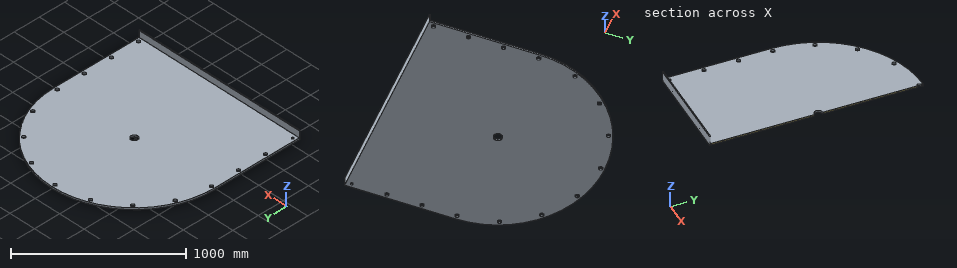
import cadquery as cq
import math

width = 1312.0
length = 1336.0
height = 65.0
plate_thickness = 15.0
flange_thickness = 7.0

center_hole_diameter = 52.0
rim_hole_diameter = 24.0
small_hole_diameter = 15.0
rim_hole_inset = 25.0
side_hole_pitch = 215.0
side_hole_rows = 3
arc_spaces = 8

end_radius = width / 2
front_y = end_radius - length
hole_radius = end_radius - rim_hole_inset


def arched_plate():
    """Flat plate with a straight front edge and a semicircular rear end."""
    return (
        cq.Workplane("XY")
        .moveTo(-end_radius, front_y)
        .lineTo(end_radius, front_y)
        .lineTo(end_radius, 0)
        .threePointArc((0, end_radius), (-end_radius, 0))
        .close()
        .extrude(plate_thickness)
    )


def front_flange():
    """Thin upright wall along the straight front edge."""
    return (
        cq.Workplane("XY", origin=(0, front_y, 0))
        .box(width, flange_thickness, height, centered=(True, False, False))
    )


def through_holes(points, diameter):
    """Cutters through the plate at the given places."""
    return cq.Workplane("XY").pushPoints(points).circle(diameter / 2).extrude(plate_thickness)


rim_points = []
for index in range(arc_spaces + 1):
    angle = math.pi * index / arc_spaces
    rim_points.append((hole_radius * math.cos(angle), hole_radius * math.sin(angle)))

small_hole_point = (-hole_radius, -side_hole_rows * side_hole_pitch)
for row in range(1, side_hole_rows + 1):
    for side in (-1, 1):
        point = (side * hole_radius, -row * side_hole_pitch)
        if point != small_hole_point:
            rim_points.append(point)

result = (
    arched_plate()
    .union(front_flange())
    .cut(through_holes([(0, 0)], center_hole_diameter))
    .cut(through_holes(rim_points, rim_hole_diameter))
    .cut(through_holes([small_hole_point], small_hole_diameter))
)